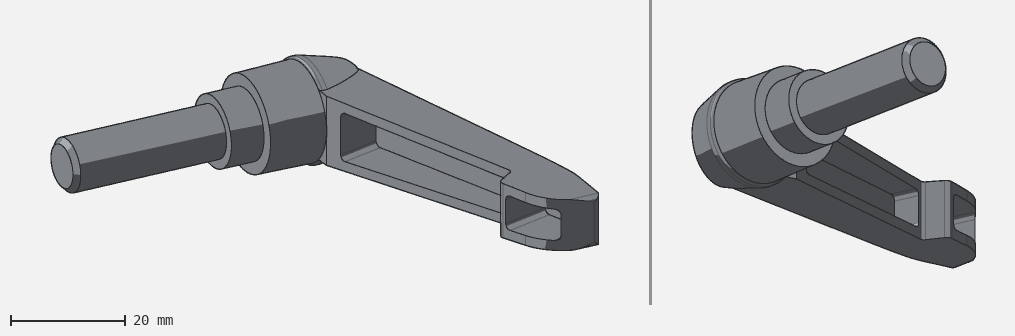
import cadquery as cq
import math


stud_radius = 10.0 / 2
stud_length = 30.0
stud_chamfer = 1.0
collar_radius = 13.5 / 2
collar_length = 6.5

hub_bottom_radius = 9.08
hub_mid_radius = 9.17
hub_top_radius = 9.3
hub_height = 11.0
rim_radius = 9.75
rim_round = rim_radius - hub_top_radius
rim_top = hub_height + 1.4
cone_mid_radius = 8.65
cone_mid_height = 16.9
cone_top_radius = 7.4
cone_top_height = 21.0

head_radius = 4.1
head_top = 21.95
head_chamfer = 0.6

top_angle = 15.0
under_angle = 20.0
notch_angle = 55.0
top_at_axis = 20.55
lever_top = 35.05
bend_start_x = 43.8
knee_x = 53.2
knee_angle = 12.5
tip_x = 65.0
root_x = 9.3
notch_x = 49.6
heel_x = 52.4
tip_arc_start_x = 58.1
notch_inner_round = 0.75
notch_outer_round = 1.1
tip_corner_round = 1.3

axis_half_width = 6.95
tip_half_width = 4.85
tip_side_round = 1.0

web_thickness = 2.8
side_wall = 2.0
pocket_round = 1.0
pocket_depth = 20.0
pocket_spans = [(9.8, 48.0), (52.4, 63.1)]


def slope(angle):
    return math.tan(math.radians(angle))


def half_width(x):
    return axis_half_width + (tip_half_width - axis_half_width) * x / tip_x


def make_hub():
    """Stud, collar, hub body and cone turned about Y, with the cone cut off along the upper face."""
    stud_end = -collar_length - stud_length
    rim_curve = rim_round * (1 - math.sqrt(0.5))
    profile = (
        cq.Workplane("XY")
        .moveTo(0, stud_end)
        .lineTo(stud_radius - stud_chamfer, stud_end)
        .lineTo(stud_radius, stud_end + stud_chamfer)
        .lineTo(stud_radius, -collar_length)
        .lineTo(collar_radius, -collar_length)
        .lineTo(collar_radius, 0)
        .lineTo(hub_bottom_radius, 0)
        .threePointArc((hub_mid_radius, hub_height / 2), (hub_top_radius, hub_height))
        .threePointArc(
            (rim_radius - rim_curve, hub_height + rim_curve),
            (rim_radius, hub_height + rim_round),
        )
        .lineTo(rim_radius, rim_top)
        .threePointArc((cone_mid_radius, cone_mid_height), (cone_top_radius, cone_top_height))
        .lineTo(0, cone_top_height)
        .close()
    )
    hub = profile.revolve(360, (0, 0, 0), (0, 1, 0))
    reach = 2 * rim_radius
    rise = reach * slope(top_angle)
    above_top_face = (
        cq.Workplane("XY")
        .moveTo(-reach, top_at_axis - rise)
        .lineTo(reach, top_at_axis + rise)
        .lineTo(-reach, top_at_axis + rise)
        .close()
        .extrude(reach, both=True)
    )
    return hub.cut(above_top_face)


def make_head():
    return (
        cq.Workplane("XZ", origin=(0, hub_height, 0))
        .circle(head_radius)
        .extrude(hub_height - head_top)
        .faces(">Y")
        .chamfer(head_chamfer)
    )


def make_lever():
    """Side profile and tapered plan, intersected."""
    bend_start = (bend_start_x, top_at_axis + bend_start_x * slope(top_angle))
    knee_rise = (knee_x - bend_start_x) * slope((top_angle + knee_angle) / 2)
    knee = (knee_x, bend_start[1] + knee_rise)
    level_x = knee_x + (lever_top - knee[1]) / slope(knee_angle / 2)
    notch = (notch_x, hub_height + (notch_x - root_x) * slope(under_angle))
    heel = (heel_x, notch[1] - (heel_x - notch_x) * slope(notch_angle))
    tip_arc_start = (tip_arc_start_x, heel[1] + (tip_arc_start_x - heel_x) * slope(under_angle))
    tip_arc_rise = (tip_x - tip_arc_start_x) * slope((90 + under_angle) / 2)
    tip_arc_top = (tip_x, tip_arc_start[1] + tip_arc_rise)
    side = (
        cq.Workplane("XY")
        .moveTo(0, top_at_axis)
        .lineTo(*bend_start)
        .tangentArcPoint(knee, relative=False)
        .tangentArcPoint((level_x, lever_top), relative=False)
        .lineTo(tip_x, lever_top)
        .lineTo(*tip_arc_top)
        .tangentArcPoint(tip_arc_start, relative=False)
        .lineTo(*heel)
        .lineTo(*notch)
        .lineTo(root_x, hub_height)
        .lineTo(0, hub_height)
        .close()
        .extrude(axis_half_width, both=True)
    )
    roundings = [
        (notch, notch_inner_round),
        (heel, notch_outer_round),
        ((tip_x, lever_top), tip_corner_round),
    ]
    for (x, y), radius in roundings:
        side = side.edges(cq.selectors.NearestToPointSelector((x, y, 0))).fillet(radius)

    plan = (
        cq.Workplane("XZ")
        .polyline([
            (0, -axis_half_width),
            (tip_x, -tip_half_width),
            (tip_x, tip_half_width),
            (0, axis_half_width),
        ])
        .close()
        .extrude(-2 * lever_top)
        .edges("|Y and >X")
        .fillet(tip_side_round)
    )
    return side.intersect(plan)


def make_pocket(start, end):
    """Tapered pocket with rounded corners whose floor runs parallel to the upper face."""
    angle = math.radians(top_angle)
    along = (math.cos(angle), math.sin(angle), 0)
    into_floor = (-math.sin(angle), math.cos(angle), 0)
    floor_origin = (
        web_thickness * math.sin(angle),
        top_at_axis - web_thickness * math.cos(angle),
        0,
    )
    floor = cq.Plane(origin=floor_origin, xDir=along, normal=into_floor)
    start_half = half_width(start * math.cos(angle)) - side_wall
    end_half = half_width(end * math.cos(angle)) - side_wall
    return (
        cq.Workplane(floor)
        .polyline([
            (start, -start_half),
            (end, -end_half),
            (end, end_half),
            (start, start_half),
        ])
        .close()
        .extrude(-pocket_depth)
        .edges(cq.selectors.ParallelDirSelector(cq.Vector(*into_floor)))
        .fillet(pocket_round)
    )


lever = make_lever()
for span_start, span_end in pocket_spans:
    lever = lever.cut(make_pocket(span_start, span_end))

result = make_hub().union(lever).union(make_head())